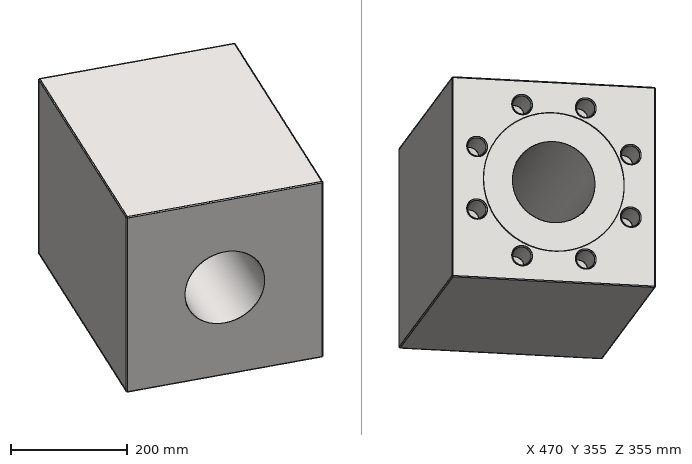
import cadquery as cq
import math

length = 470.0
side = 355.0
edge_chamfer = 2.0

bore_diameter = 144.0
seat_diameter = 245.5
seat_depth = 2.0

bolt_count = 8
bolt_circle_diameter = 290.0
bolt_diameter = 32.0
bolt_mouth_diameter = 36.0
bolt_depth = 66.0
drill_point_angle = 160.0

face_x = -length / 2


def make_block():
    """Square block with every outer edge chamfered."""
    return cq.Workplane("XY").box(length, side, side).edges().chamfer(edge_chamfer)


def make_cylinder(diameter, depth):
    """Cylinder on the X axis, running inward from the -X face."""
    return cq.Workplane("YZ", origin=(face_x, 0, 0)).circle(diameter / 2).extrude(depth)


def make_bolt_hole():
    """Bolt hole on the X axis: 45 degree mouth, straight wall, conical drill point."""
    radius = bolt_diameter / 2
    mouth_radius = bolt_mouth_diameter / 2
    mouth_depth = mouth_radius - radius
    point_depth = radius / math.tan(math.radians(drill_point_angle / 2))
    profile = (
        cq.Workplane("XY", origin=(face_x, 0, 0))
        .moveTo(0, 0)
        .lineTo(0, mouth_radius)
        .lineTo(mouth_depth, radius)
        .lineTo(bolt_depth, radius)
        .lineTo(bolt_depth + point_depth, 0)
        .close()
    )
    return profile.revolve(360, (0, 0, 0), (1, 0, 0))


result = make_block()
result = result.cut(make_cylinder(bore_diameter, length))
result = result.cut(make_cylinder(seat_diameter, seat_depth))

bolt_hole = make_bolt_hole()
bolt_spacing = 360 / bolt_count
for index in range(bolt_count):
    angle = (index + 0.5) * bolt_spacing
    bolt_y = bolt_circle_diameter / 2 * math.cos(math.radians(angle))
    bolt_z = bolt_circle_diameter / 2 * math.sin(math.radians(angle))
    result = result.cut(bolt_hole.translate((0, bolt_y, bolt_z)))